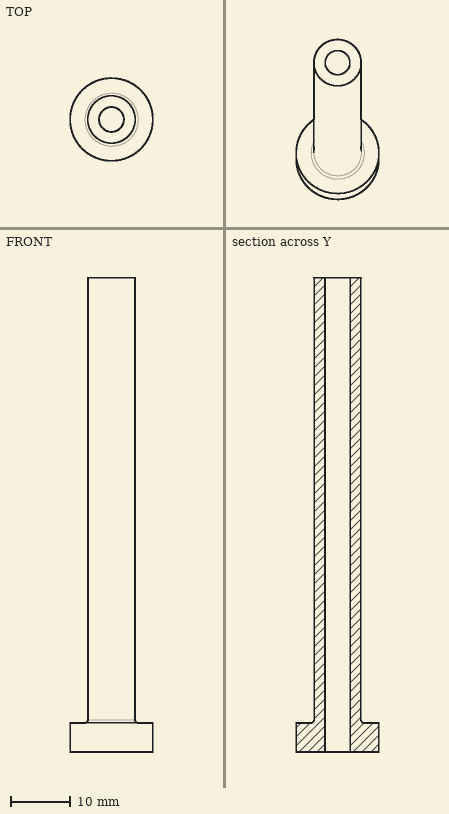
import cadquery as cq

total_length = 80.0
head_diameter = 14.0
head_height = 5.0
shaft_diameter = 8.0
bore_diameter = 4.2
neck_fillet = 0.5

head = cq.Workplane("XY").circle(head_diameter / 2).extrude(head_height)
shaft = cq.Workplane("XY").circle(shaft_diameter / 2).extrude(total_length)
body = head.union(shaft)

smallest_circle = cq.selectors.RadiusNthSelector(0)
head_top = body.faces(cq.selectors.NearestToPointSelector((0, 0, head_height)))
body = head_top.edges(smallest_circle).fillet(neck_fillet)

bore = cq.Workplane("XY").circle(bore_diameter / 2).extrude(total_length)
result = body.cut(bore)